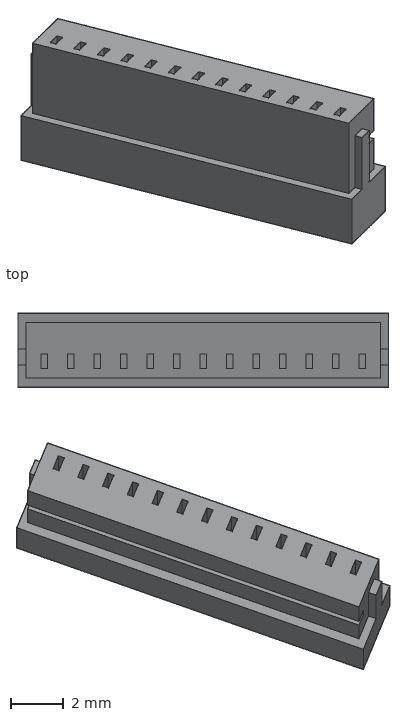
import cadquery as cq

base_length = 14.0
base_depth = 2.8
base_height = 1.95

total_height = 5.0
end_ledge = 0.31
side_ledge = 0.35
housing_length = base_length - 2 * end_ledge
housing_depth = base_depth - 2 * side_ledge
housing_back = housing_depth / 2

rib_width = 0.6
rib_y = -0.25
rib_top = 4.2

groove_depth = 0.48
groove_bottom = 3.25
groove_height = 0.36

slot_count = 13
slot_pitch = base_length / (slot_count + 1)
slot_length_x = 0.24
slot_length_y = 0.56
slot_y = -0.42
slot_depth = total_height - base_height


def block(length, depth, bottom, top, y=0):
    """Box centred on X, centred on the given Y, between two heights."""
    return (
        cq.Workplane("XY", origin=(0, y, bottom))
        .box(length, depth, top - bottom, centered=(True, True, False))
    )


def make_groove():
    groove_y = housing_back - groove_depth / 2
    groove_top = groove_bottom + groove_height
    return block(housing_length, groove_depth, groove_bottom, groove_top, groove_y)


def make_contact_slots():
    return (
        cq.Workplane("XY", origin=(0, slot_y, total_height))
        .rarray(slot_pitch, 0.14, slot_count, 1)
        .rect(slot_length_x, slot_length_y)
        .extrude(-slot_depth)
    )


base = block(base_length, base_depth, 0, base_height)
housing = block(housing_length, housing_depth, base_height, total_height)

ribs = block(base_length, rib_width, base_height, rib_top, rib_y)

result = base.union(housing).union(ribs).cut(make_groove()).cut(make_contact_slots())